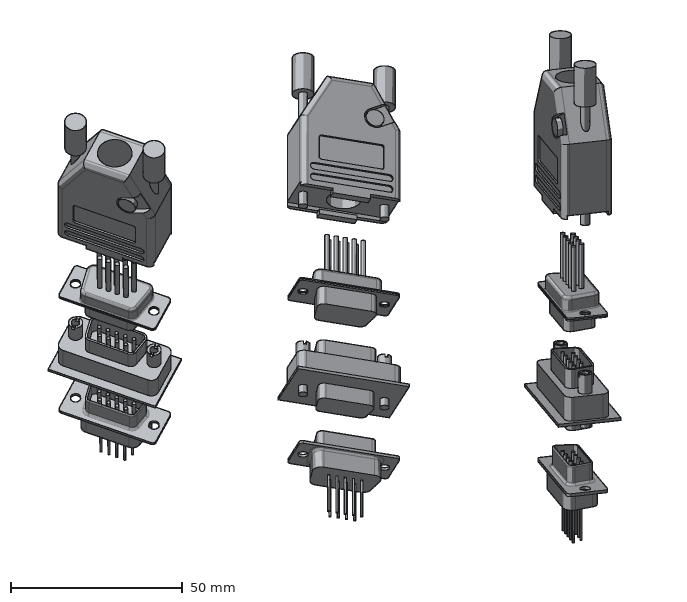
import cadquery as cq
import math


screw_x = 12.5
screw_radius = 1.4
row_offset = 1.4
contact_stagger = 1.38
contact_pitch = 2 * contact_stagger
rows = ((5, row_offset), (4, -row_offset))
d_slant = math.radians(10)
d_half_width = 9.0
shell_wall = 0.6
selection_margin = 0.2

flange_length = 30.7
flange_width = 12.5
flange_corner = 1.0
flange_hole_radius = 1.5

hood_bottom = 105.2
hood_shoulder = 128.8
hood_top = 143.5
hood_half_width = 15.4
hood_top_half_width = 7.1
hood_depth = 15.2
hood_edge_radius = 2.0
cable_bore_radius = 5.0
channel_width = flange_width
channel_height = 1.2
clip_length = 11.5
clip_width = 2.5
clip_height = 1.5
knob_top = 152.0
knob_height = 12.2
knob_radius = 3.2
rod_bottom = 102.2
latch_x = 7.1
latch_z = 131.2
latch_slot_radius = 3.2
latch_head_radius = 2.7
latch_depth = 1.7
label_length = 19.8
label_height = 8.2
label_z = 118.5
label_corner = 0.8
mark_depth = 0.6
grip_length = 25.2
grip_height = 2.3
grip_levels = (108.1, 111.8)

wire_top = 92.8
wire_radius = 0.7
cap_top = 79.0
cap_half_width = 10.3
cap_half_depth = 5.8
cap_corner = 2.1
cap_edge_radius = 0.9
plate_thickness = 0.5
plate_joint = 73.9
plate_bend_radius = 0.3
socket_bottom = 67.5
socket_half_depth = 4.9
socket_corner = 2.0

adapter_length = 34.0
adapter_width = 19.0
adapter_flange_bottom = 41.4
adapter_flange_thickness = 0.9
block_length = 31.6
block_width = 13.4
block_top = 49.7
block_corner = 2.3
adapter_top = 55.7
adapter_shell_half_depth = 4.4
adapter_shell_corner = 2.0
adapter_pin_length = 5.8
mating_pin_radius = 0.53
jack_diameter = 4.1
jack_hole_radius = 1.2
jack_hole_depth = 3.0
jack_slot_width = 0.9
jack_slot_depth = 0.9
adapter_screw_bottom = 38.8
adapter_socket_bottom = 36.3
adapter_socket_half_width = 8.5
adapter_socket_half_depth = 4.0
adapter_socket_corner = 1.8

header_top = 25.4
header_half_depth = 4.0
header_corner = 1.7
header_rim_radius = 0.3
header_recess_depth = 5.5
header_pin_length = 4.7
header_flange_bottom = 18.5
header_flange_thickness = 0.9
header_bend_radius = 0.8
base_bend_radius = 0.88
base_bottom = 12.2
base_half_width = 10.3
base_half_depth = 5.3
base_corner = 2.6
tail_radius = 0.33
tail_stagger = 1.26
tail_pitch = 2 * tail_stagger


def box(length, width, z_low, z_high):
    """Block centred on the Z axis."""
    return cq.Workplane("XY", origin=(0, 0, z_low)).rect(length, width).extrude(z_high - z_low)


def cylinder(radius, x, y, z_low, z_high):
    """Upright cylinder."""
    return cq.Workplane("XY", origin=(x, y, z_low)).circle(radius).extrude(z_high - z_low)


def d_prism(half_width, half_depth, corner, z_low, z_high):
    """D-shaped prism, wide side at +Y; half_width is measured over the rounded wide corners."""
    back = half_width - corner + corner * math.tan(math.pi / 4 + d_slant / 2)
    front = back - 2 * half_depth * math.tan(d_slant)
    outline = [(-back, half_depth), (back, half_depth), (front, -half_depth), (-front, -half_depth)]
    prism = cq.Workplane("XY", origin=(0, 0, z_low)).polyline(outline).close().extrude(z_high - z_low)
    return prism.edges("|Z").fillet(corner)


def flange_plate(z_low, z_high):
    """Connector flange with rounded corners."""
    return box(flange_length, flange_width, z_low, z_high).edges("|Z").fillet(flange_corner)


def flange_holes(z_low, z_high):
    """Cutters for the two mounting holes of a flange."""
    left = cylinder(flange_hole_radius, -screw_x, 0, z_low, z_high)
    return left.union(cylinder(flange_hole_radius, screw_x, 0, z_low, z_high))


def ring_at(level):
    """Selects the edges where a D-shape meets the flange face at this Z, inside the flange outline."""
    reach_x = flange_length / 2 - flange_corner
    reach_y = flange_width / 2 - selection_margin
    return cq.selectors.BoxSelector(
        (-reach_x, -reach_y, level - selection_margin),
        (reach_x, reach_y, level + selection_margin),
    )


def contacts(radius, pitch, z_low, z_high):
    """Two staggered rows of round contacts: five at +Y, four at -Y."""
    points = [
        ((index - (count - 1) / 2) * pitch, y)
        for count, y in rows
        for index in range(count)
    ]
    row_plane = cq.Workplane("XY", origin=(0, 0, z_low))
    return row_plane.pushPoints(points).circle(radius).extrude(z_high - z_low)


def hood_face():
    """Workplane on the hood's -Y face, facing outward; local X is X, local Y is Z."""
    plane = cq.Plane(origin=(0, -hood_depth / 2, 0), xDir=(1, 0, 0), normal=(0, -1, 0))
    return cq.Workplane(plane)


def hood_shell():
    """Tapered hood with rounded broad-face edges and a flat bottom."""
    outline = [
        (-hood_half_width, hood_bottom),
        (hood_half_width, hood_bottom),
        (hood_half_width, hood_shoulder),
        (hood_top_half_width, hood_top),
        (-hood_top_half_width, hood_top),
        (-hood_half_width, hood_shoulder),
    ]
    shell = cq.Workplane("XZ").polyline(outline).close().extrude(hood_depth / 2, both=True)
    return shell.faces("<Y or >Y").edges("not <Z").fillet(hood_edge_radius)


def hood_face_cuts():
    """Label panel, grip grooves and latch slot of the -Y face."""
    cuts = hood_face().center(0, label_z).rect(label_length, label_height).extrude(-mark_depth)
    cuts = cuts.edges("|Y").fillet(label_corner)
    for level in grip_levels:
        groove = hood_face().center(0, level).slot2D(grip_length, grip_height).extrude(-mark_depth)
        cuts = cuts.union(groove)

    slope_run = hood_half_width - hood_top_half_width
    slope_angle = math.degrees(math.atan2(slope_run, hood_top - hood_shoulder))
    slot_reach = hood_half_width
    pocket = hood_face().center(latch_x, latch_z).circle(latch_slot_radius).extrude(-latch_depth)
    exit_path = (
        hood_face().center(latch_x, latch_z).transformed(rotate=(0, 0, slope_angle))
        .center(slot_reach / 2, 0).rect(slot_reach, 2 * latch_slot_radius).extrude(-latch_depth)
    )
    head = hood_face().center(latch_x, latch_z).circle(latch_head_radius).extrude(-latch_depth)
    return cuts.union(pocket.union(exit_path).cut(head))


def make_hood():
    """Hood with clips, cable bore and its two captive thumbscrews."""
    hood = hood_shell()
    cuts = hood_face_cuts()
    for turn in (0, 180):
        hood = hood.cut(cuts.rotate((0, 0, 0), (0, 0, 1), turn))
    hood = hood.cut(box(2 * hood_half_width, channel_width, hood_bottom, hood_bottom + channel_height))
    for side in (-1, 1):
        clip = box(clip_length, clip_width, hood_bottom - clip_height, hood_bottom)
        hood = hood.union(clip.translate((0, side * (hood_depth - clip_width) / 2, 0)))
        hood = hood.union(cylinder(screw_radius, side * screw_x, 0, rod_bottom, knob_top))
        hood = hood.union(cylinder(knob_radius, side * screw_x, 0, knob_top - knob_height, knob_top))
    return hood.cut(cylinder(cable_bore_radius, 0, 0, hood_bottom, hood_top))


def make_wired_rear():
    """Rear half: flange plate, rounded cap and the nine wires."""
    plate_top = plate_joint + plate_thickness
    cap = d_prism(cap_half_width, cap_half_depth, cap_corner, plate_top, cap_top)
    cap = cap.faces(">Z").edges().fillet(cap_edge_radius)
    rear = flange_plate(plate_joint, plate_top).union(cap)
    rear = rear.edges(ring_at(plate_top)).fillet(plate_bend_radius)
    rear = rear.cut(flange_holes(plate_joint, plate_top + plate_bend_radius))
    return rear.union(contacts(wire_radius, contact_pitch, cap_top, wire_top))


def make_wired_front():
    """Front half: flange plate and the D-shaped socket below it."""
    plate_bottom = plate_joint - plate_thickness
    front = flange_plate(plate_bottom, plate_joint).cut(flange_holes(plate_bottom, plate_joint))
    return front.union(d_prism(d_half_width, socket_half_depth, socket_corner, socket_bottom, plate_bottom))


def jack_screw(x):
    """Slotted jack screw with a blind hole, passing down through the adapter."""
    jack = cylinder(jack_diameter / 2, x, 0, block_top, adapter_top)
    jack = jack.cut(cylinder(jack_hole_radius, x, 0, adapter_top - jack_hole_depth, adapter_top))
    slot = box(jack_slot_width, jack_diameter, adapter_top - jack_slot_depth, adapter_top)
    jack = jack.cut(slot.translate((x, 0, 0)))
    return jack.union(cylinder(screw_radius, x, 0, adapter_screw_bottom, block_top))


def make_adapter():
    """Adapter: flanged block with a pin shell on top, a socket below and two jack screws."""
    flange_top = adapter_flange_bottom + adapter_flange_thickness
    adapter = box(adapter_length, adapter_width, adapter_flange_bottom, flange_top)
    block = box(block_length, block_width, flange_top, block_top).edges("|Z").fillet(block_corner)
    adapter = adapter.union(block)
    shell = d_prism(d_half_width, adapter_shell_half_depth, adapter_shell_corner, block_top, adapter_top)
    shell = shell.cut(d_prism(
        d_half_width - shell_wall, adapter_shell_half_depth - shell_wall,
        adapter_shell_corner - shell_wall, block_top, adapter_top,
    ))
    adapter = adapter.union(shell)
    pin_top = block_top + adapter_pin_length
    adapter = adapter.union(contacts(mating_pin_radius, contact_pitch, block_top, pin_top))
    adapter = adapter.union(d_prism(
        adapter_socket_half_width, adapter_socket_half_depth, adapter_socket_corner,
        adapter_socket_bottom, adapter_flange_bottom,
    ))
    for side in (-1, 1):
        adapter = adapter.union(jack_screw(side * screw_x))
    return adapter


def make_pin_connector():
    """Pin connector: flange, hollow pin shell above, base with nine tails below."""
    flange_top = header_flange_bottom + header_flange_thickness
    recess_floor = header_top - header_recess_depth
    body = flange_plate(header_flange_bottom, flange_top)
    body = body.union(d_prism(d_half_width, header_half_depth, header_corner, flange_top, header_top))
    body = body.faces(">Z").edges().fillet(header_rim_radius)
    base = d_prism(base_half_width, base_half_depth, base_corner, base_bottom, header_flange_bottom)
    body = body.union(base)
    body = body.edges(ring_at(flange_top)).fillet(header_bend_radius)
    body = body.edges(ring_at(header_flange_bottom)).fillet(base_bend_radius)
    body = body.cut(d_prism(
        d_half_width - shell_wall, header_half_depth - shell_wall,
        header_corner - shell_wall, recess_floor, header_top,
    ))
    body = body.cut(flange_holes(header_flange_bottom - base_bend_radius, flange_top))
    pin_top = recess_floor + header_pin_length
    body = body.union(contacts(mating_pin_radius, contact_pitch, recess_floor, pin_top))
    return body.union(contacts(tail_radius, tail_pitch, 0, base_bottom))


hood = make_hood()
wired_rear = make_wired_rear()
wired_front = make_wired_front()
adapter = make_adapter()
pin_connector = make_pin_connector()

result = cq.Compound.makeCompound([
    hood.val(),
    wired_rear.val(),
    wired_front.val(),
    adapter.val(),
    pin_connector.val(),
])